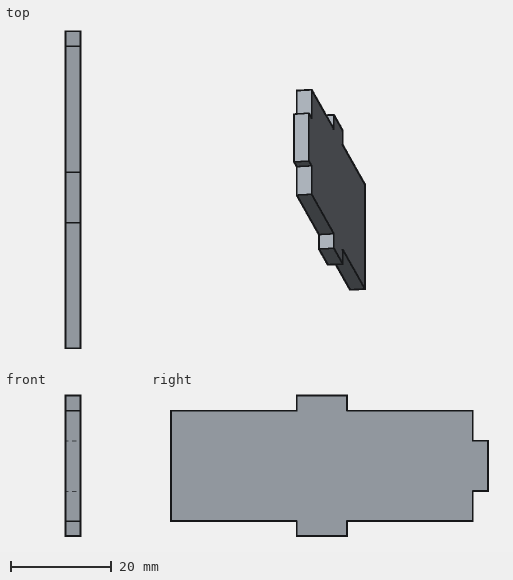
import cadquery as cq

overall_length = 63.0
overall_height = 28.0
thickness = 3.0
tab_width = 10.0
tab_projection = thickness

body_length = overall_length - tab_projection
body_height = overall_height - 2 * tab_projection

body = cq.Workplane("XY").box(thickness, body_length, body_height)

top_and_bottom_tabs = cq.Workplane("XY").box(thickness, tab_width, overall_height)

end_tab = (
    cq.Workplane("XY")
    .box(thickness, tab_projection, tab_width)
    .translate((0, overall_length / 2, 0))
)

result = body.union(top_and_bottom_tabs).union(end_tab)